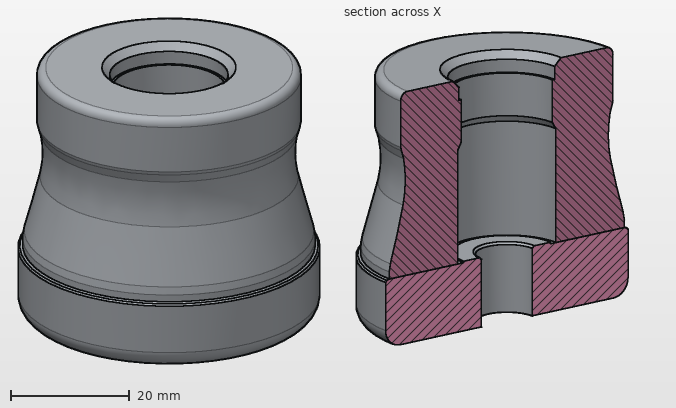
import cadquery as cq

total_height = 44.45

base_radius = 25.4
base_height = 12.1
base_bottom_fillet = 3.15
rim_chamfer = 0.3
rim_top_z = 11.9
pad_radius = 9.1
pad_height = 0.25
base_hole_radius = 5.3
base_hole_chamfer = 0.4

skirt_radius = 24.65
skirt_top_z = 13.35
flare_bottom_radius = 24.4
flare_bottom_z = 14.75
flare_top_radius = 21.75
flare_top_z = 24.6
waist_radius = 21.3
waist_z = 28.45
neck_radius = 21.65
neck_z = 32.75
head_underside_radius = 22.1
head_underside_z = 34.25
head_radius = 22.25
head_bottom_z = 34.85
head_top_fillet = 1.45

mouth_radius = 9.95
mouth_chamfer = 1.3
mouth_depth = 3.6
middle_bore_radius = 9.5
middle_bore_depth = 11.1
undercut_radius = 10.15
undercut_taper_height = 1.15


def make_base():
    """Foot disc with a sloping rim, a low centre pad and a chamfered through hole."""
    pad_top_z = base_height + pad_height
    blank = (
        cq.Workplane("XZ")
        .moveTo(base_hole_radius, 0)
        .lineTo(base_radius - base_bottom_fillet, 0)
        .radiusArc((base_radius, base_bottom_fillet), -base_bottom_fillet)
        .lineTo(base_radius, rim_top_z - rim_chamfer)
        .lineTo(base_radius - rim_chamfer, rim_top_z)
        .lineTo(skirt_radius, base_height)
        .lineTo(pad_radius, base_height)
        .lineTo(pad_radius, pad_top_z)
        .lineTo(base_hole_radius + base_hole_chamfer, pad_top_z)
        .lineTo(base_hole_radius, pad_top_z - base_hole_chamfer)
        .close()
    )
    return blank.revolve(360, (0, 0, 0), (0, 1, 0))


def make_body_blank():
    """Waisted outer shape, revolved about Z, with a rounded top rim."""
    blank = (
        cq.Workplane("XZ")
        .moveTo(0, base_height)
        .lineTo(skirt_radius, base_height)
        .lineTo(skirt_radius, skirt_top_z)
        .lineTo(flare_bottom_radius, flare_bottom_z)
        .lineTo(flare_top_radius, flare_top_z)
        .threePointArc((waist_radius, waist_z), (neck_radius, neck_z))
        .lineTo(head_underside_radius, head_underside_z)
        .lineTo(head_radius, head_bottom_z)
        .lineTo(head_radius, total_height)
        .lineTo(0, total_height)
        .close()
        .revolve(360, (0, 0, 0), (0, 1, 0))
    )
    return blank.faces(">Z").edges().fillet(head_top_fillet)


def make_bore():
    """Cutter for the bore: chamfered mouth, narrower step and tapered undercut down to the base."""
    return (
        cq.Workplane("XZ")
        .moveTo(0, base_height)
        .lineTo(undercut_radius, base_height)
        .lineTo(undercut_radius, total_height - middle_bore_depth - undercut_taper_height)
        .lineTo(middle_bore_radius, total_height - middle_bore_depth)
        .lineTo(middle_bore_radius, total_height - mouth_depth)
        .lineTo(mouth_radius, total_height - mouth_depth)
        .lineTo(mouth_radius, total_height - mouth_chamfer)
        .lineTo(mouth_radius + mouth_chamfer, total_height)
        .lineTo(0, total_height)
        .close()
        .revolve(360, (0, 0, 0), (0, 1, 0))
    )


base = make_base()
body = make_body_blank().cut(make_bore())

result = cq.Compound.makeCompound([base.val(), body.val()])